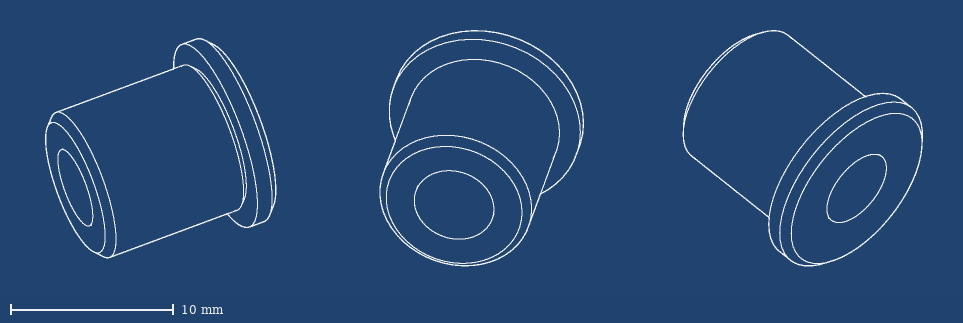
import cadquery as cq

head_diameter = 12.0
head_thickness = 1.5
body_diameter = 9.525
bore_diameter = 5.0
overall_length = 11.05
edge_chamfer = 0.5
undercut_size = 0.35

head_face = head_thickness
body_end = head_thickness - overall_length

head_radius = head_diameter / 2
body_radius = body_diameter / 2
bore_radius = bore_diameter / 2


def bushing_body():
    """Headed bushing revolved about Y: chamfered head, tapered neck relief, chamfered body."""
    half_section = [
        (bore_radius, body_end),
        (body_radius - edge_chamfer, body_end),
        (body_radius, body_end + edge_chamfer),
        (body_radius, -undercut_size),
        (body_radius - undercut_size, 0),
        (head_radius, 0),
        (head_radius, head_face - edge_chamfer),
        (head_radius - edge_chamfer, head_face),
        (bore_radius, head_face),
    ]
    return cq.Workplane("XY").polyline(half_section).close().revolve(360, (0, 0, 0), (0, 1, 0))


result = bushing_body()